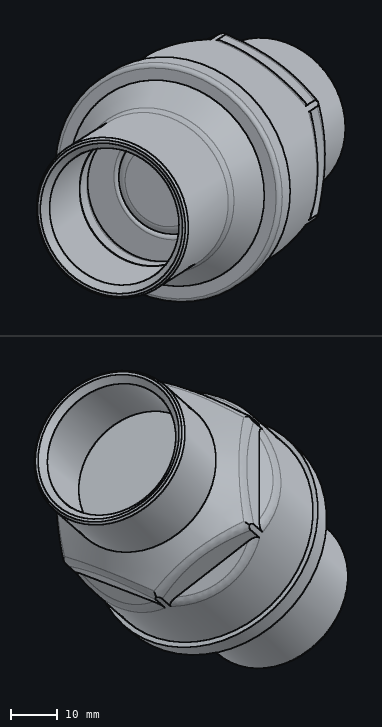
import cadquery as cq
import math

length = 83.0
cone_front_start = 21.2
flange_front = 29.0
flange_back = 34.2
outlet_pipe_start = 66.9

pipe_radius = 35.8 / 2
body_radius = 51.0 / 2
flange_radius = 53.3 / 2
front_cone_radius = 22.9
cone_angle = math.radians(36)
pipe_end_chamfer = 0.5
flange_round = 1.0
neck_round = 3.0

flat_count = 6
flat_distance = 22.4
flat_front = 54.8
flat_edge_round = 3.0
cutter_margin = 10.0

bore_radius = 30.5 / 2
mouth_chamfer = 1.5
socket_depth = 17.3
relief_step = 0.1
relief_radius = bore_radius + relief_step
relief_end = 20.9

chamber_round = 3.0
seat_position = flange_front
seat_radius = 23.2 / 2
seat_round = 0.9
groove_depth = 1.7
groove_floor = seat_position + groove_depth
disc_radius = 22.9 / 2
disc_round = 2.2
disc_height = 1.5
disc_front = seat_position - disc_height


def revolve(profile):
    """Turn an (r, y) outline around the Y axis."""
    return profile.close().revolve(360, (0, 0), (0, 1))


def arc_step(radius, angle):
    """Radial and axial travel of an arc that starts along the axis and turns by angle."""
    return radius * (1 - math.cos(angle)), radius * math.sin(angle)


def arc_corner(radius):
    """Inset of the middle of a quarter arc from the sharp corner it replaces."""
    return radius * (1 - math.sqrt(0.5))


def outer_body():
    """Pipe ends, front cone, flange, cylindrical body and 45 degree rear cone."""
    end_radius = pipe_radius - pipe_end_chamfer
    neck_rise, neck_run = arc_step(neck_round, cone_angle)
    mid_rise, mid_run = arc_step(neck_round, cone_angle / 2)
    cone_top = outlet_pipe_start - (body_radius - pipe_radius)
    corner = arc_corner(flange_round)
    return revolve(
        cq.Workplane("XY")
        .moveTo(0, 0)
        .lineTo(end_radius, 0)
        .lineTo(pipe_radius, pipe_end_chamfer)
        .lineTo(pipe_radius, cone_front_start)
        .threePointArc(
            (pipe_radius + mid_rise, cone_front_start + mid_run),
            (pipe_radius + neck_rise, cone_front_start + neck_run),
        )
        .lineTo(front_cone_radius, flange_front)
        .lineTo(flange_radius - flange_round, flange_front)
        .threePointArc(
            (flange_radius - corner, flange_front + corner),
            (flange_radius, flange_front + flange_round),
        )
        .lineTo(flange_radius, flange_back)
        .lineTo(body_radius, flange_back)
        .lineTo(body_radius, cone_top)
        .lineTo(pipe_radius, outlet_pipe_start)
        .lineTo(pipe_radius, length - pipe_end_chamfer)
        .lineTo(end_radius, length)
        .lineTo(0, length)
    )


def flat_cutter():
    """Prism that clears the space outside one flat, with a 45 degree run-out at its front."""
    outer = flat_distance + cutter_margin
    return (
        cq.Workplane("XY")
        .moveTo(flat_distance, length)
        .lineTo(flat_distance, flat_front)
        .lineTo(outer, flat_front - cutter_margin)
        .lineTo(outer, length)
        .close()
        .extrude(outer, both=True)
    )


def rounded_envelope():
    """Oversized rear cone with one flat rounded into it, on a plain cylinder too wide to matter."""
    cone_base_radius = pipe_radius + outlet_pipe_start - flat_front
    cone = revolve(
        cq.Workplane("XY")
        .moveTo(0, flat_front)
        .lineTo(cone_base_radius, flat_front)
        .lineTo(pipe_radius, outlet_pipe_start)
        .lineTo(pipe_radius, length)
        .lineTo(0, length)
    )
    cone = cone.cut(flat_cutter().rotate((0, 0, 0), (0, 1, 0), 180))
    cone = cone.edges("%HYPERBOLA").fillet(flat_edge_round)
    front = cq.Workplane("XZ").circle(cone_base_radius).extrude(-flat_front)
    return cone.union(front)


def turned(shape, index):
    """Turn a shape about the Y axis to the flat with the given index."""
    return shape.rotate((0, 0, 0), (0, 1, 0), index * 360 / flat_count)


def cut_flats(body):
    """Cut all flats and round their curved edges at the body and at the rear cone."""
    cutter = flat_cutter()
    envelope = rounded_envelope()
    for i in range(flat_count):
        body = body.cut(turned(cutter, i))
    body = body.edges("%ELLIPSE").fillet(flat_edge_round)
    for i in range(flat_count):
        body = body.intersect(turned(envelope, i))
    return body


def inlet_socket():
    """Bore, slight relief, flared chamber and the ring groove around the valve disc."""
    flare_rise, flare_run = arc_step(chamber_round, cone_angle)
    mid_rise, mid_run = arc_step(chamber_round, cone_angle / 2)
    chamber_start = relief_end + flare_run
    chamber_radius = relief_radius + flare_rise + (seat_position - chamber_start) * math.tan(cone_angle)
    seat_corner = arc_corner(seat_round)
    disc_corner = arc_corner(disc_round)
    return revolve(
        cq.Workplane("XY")
        .moveTo(0, 0)
        .lineTo(bore_radius + mouth_chamfer, 0)
        .lineTo(bore_radius, mouth_chamfer)
        .lineTo(bore_radius, socket_depth)
        .lineTo(relief_radius, socket_depth)
        .lineTo(relief_radius, relief_end)
        .threePointArc(
            (relief_radius + mid_rise, relief_end + mid_run),
            (relief_radius + flare_rise, chamber_start),
        )
        .lineTo(chamber_radius, seat_position)
        .lineTo(seat_radius + seat_round, seat_position)
        .threePointArc(
            (seat_radius + seat_corner, seat_position + seat_corner),
            (seat_radius, seat_position + seat_round),
        )
        .lineTo(seat_radius, groove_floor)
        .lineTo(disc_radius, groove_floor)
        .lineTo(disc_radius, disc_front + disc_round)
        .threePointArc(
            (disc_radius - disc_corner, disc_front + disc_corner),
            (disc_radius - disc_round, disc_front),
        )
        .lineTo(0, disc_front)
    )


def outlet_socket():
    """Blind bore with a chamfered mouth."""
    floor = length - socket_depth
    return revolve(
        cq.Workplane("XY")
        .moveTo(0, length)
        .lineTo(bore_radius + mouth_chamfer, length)
        .lineTo(bore_radius, length - mouth_chamfer)
        .lineTo(bore_radius, floor)
        .lineTo(0, floor)
    )


result = cut_flats(outer_body()).cut(inlet_socket()).cut(outlet_socket())